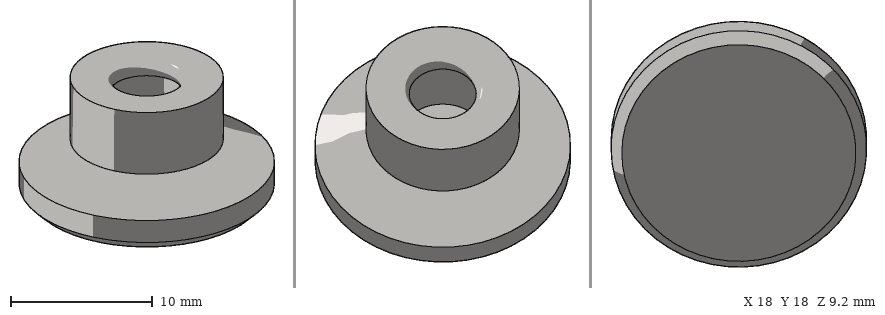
import cadquery as cq
import math

flange_radius = 9.0
height = 9.2

bottom_chamfer = 0.75
rim_top = 2.5
neck_radius = 5.4
cone_rise_per_run = 0.5
cone_top = rim_top + cone_rise_per_run * (flange_radius - neck_radius)

hole_radius = 3.06
lip_radius = 0.7
throat_radius = hole_radius - lip_radius
hole_depth = 6.0
drill_point_angle = 118.0
point_depth = hole_radius / math.tan(math.radians(drill_point_angle / 2))
hole_floor = height - hole_depth

section = (
    cq.Workplane("XZ")
    .moveTo(0, 0)
    .lineTo(flange_radius - bottom_chamfer, 0)
    .lineTo(flange_radius, bottom_chamfer)
    .lineTo(flange_radius, rim_top)
    .lineTo(neck_radius, cone_top)
    .lineTo(neck_radius, height)
    .lineTo(hole_radius, height)
    .threePointArc(
        (throat_radius, height - lip_radius),
        (hole_radius, height - 2 * lip_radius),
    )
    .lineTo(hole_radius, hole_floor)
    .lineTo(0, hole_floor - point_depth)
    .close()
)

result = section.revolve(360, (0, 0, 0), (0, 1, 0))